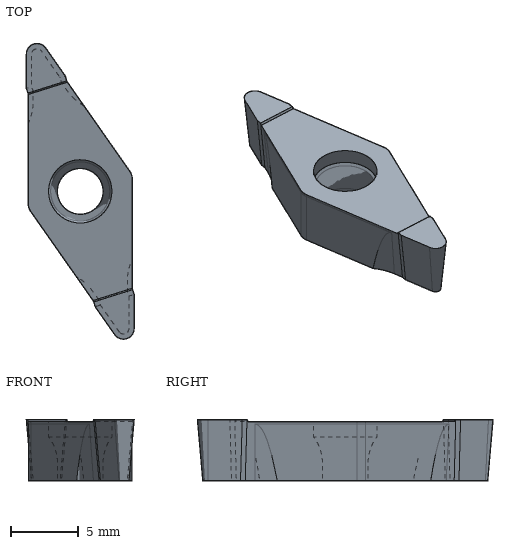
import cadquery as cq
import math


length = 21.92
tip_width = 8.0
height = 4.54
point_angle = 35.0
half_angle = math.radians(point_angle / 2)
clearance_inset = 0.4

tip_inradius = tip_width / 2
body_inradius = 3.88
nose_radius = 0.81
nose_centre = length / 2 - nose_radius
corner_radius = 1.1
shoulder_inner_top = 7.28
shoulder_outer_top = 7.63
shoulder_rise = 0.13

recess_depth = 0.13
recess_end_bottom = 8.0
recess_end_top = 8.1

core_height = 4.2
runout_position = 6.69
runout_radius = 3.95
core_end = runout_position + 0.22
core_setback = 0.1

bore_radius = 1.69
mouth_radius = 2.35
seat_radius = 2.2
mouth_depth = 1.15
ledge_depth = 0.2
seat_depth = 1.75

clearance_slope = clearance_inset / height
core_inset = clearance_slope * (height - core_height)
core_inradius = body_inradius - core_inset


def edge_point(side, along, outward):
    """Point beside the +Y tip; side -1 is the edge parallel to Y, +1 the slanted edge."""
    axial = along * math.cos(half_angle) + outward * math.sin(half_angle)
    across = side * (outward * math.cos(half_angle) - along * math.sin(half_angle))
    return (
        across * math.cos(half_angle) - axial * math.sin(half_angle),
        across * math.sin(half_angle) + axial * math.cos(half_angle),
    )


def opposite(point):
    return (-point[0], -point[1])


def corner_points(inradius, radius):
    """Start, middle and end of the round at the obtuse +X corner, from slanted to upright edge."""
    foot = (radius - inradius) * math.tan(half_angle)
    start = edge_point(1, foot, inradius)
    end = opposite(edge_point(-1, foot, inradius))
    centre_distance = (inradius - radius) / math.cos(half_angle)
    reach = centre_distance + radius
    middle = (reach * math.cos(half_angle), reach * math.sin(half_angle))
    return start, middle, end


def drafted_outline(inset, shoulder_shift, level):
    """Full outline with stepped shoulders, moved inward by inset."""
    neck = body_inradius - inset
    flank = tip_inradius - inset
    radius = nose_radius - inset
    inner = shoulder_inner_top + shoulder_shift
    outer = shoulder_outer_top + shoulder_shift
    nose_axial = nose_centre * math.cos(half_angle) + (flank - radius) * math.sin(half_angle)
    nose_reach = nose_axial + radius
    nose_tip = (-nose_reach * math.sin(half_angle), nose_reach * math.cos(half_angle))
    corner = corner_points(neck, corner_radius - inset)

    sketch = cq.Workplane("XY").workplane(offset=level).moveTo(*opposite(corner[2]))
    for turn in (lambda point: point, opposite):
        sketch = (
            sketch.lineTo(*turn(edge_point(-1, inner, neck)))
            .lineTo(*turn(edge_point(-1, outer, flank)))
            .lineTo(*turn(edge_point(-1, nose_centre, flank)))
            .threePointArc(turn(nose_tip), turn(edge_point(1, nose_centre, flank)))
            .lineTo(*turn(edge_point(1, outer, flank)))
            .lineTo(*turn(edge_point(1, inner, neck)))
            .lineTo(*turn(corner[0]))
            .threePointArc(turn(corner[1]), turn(corner[2]))
        )
    return sketch.close().val()


def drafted_body():
    bottom = drafted_outline(clearance_inset, shoulder_rise, 0)
    top = drafted_outline(0, 0, height)
    return cq.Workplane(cq.Solid.makeLoft([bottom, top], True))


def runout_cutter():
    """Scoop beside the -X edge: a cylinder tangent to the drafted neck plane."""
    margin = 1.1
    bottom_inradius = body_inradius - clearance_inset
    plane = cq.Plane(
        origin=(-bottom_inradius, runout_position, 0),
        xDir=(0, 1, 0),
        normal=(-clearance_slope, 0, 1),
    )
    sweep = math.radians(45)

    def arc_point(angle):
        return (
            -runout_radius * math.sin(angle),
            runout_radius * (1 - math.cos(angle)),
        )

    arc_end = arc_point(sweep)
    return (
        cq.Workplane(plane)
        .workplane(offset=-margin)
        .moveTo(margin, -core_setback)
        .lineTo(0, -core_setback)
        .lineTo(0, 0)
        .threePointArc(arc_point(sweep / 2), arc_end)
        .lineTo(margin, arc_end[1])
        .close()
        .extrude(height + 2 * margin)
    )


def upright_core():
    corner = corner_points(core_inradius, corner_radius - core_inset)
    core = (
        cq.Workplane("XY")
        .moveTo(*opposite(corner[2]))
        .lineTo(*edge_point(-1, core_end, core_inradius))
        .lineTo(*edge_point(1, core_end, core_inradius))
        .lineTo(*corner[0])
        .threePointArc(corner[1], corner[2])
        .lineTo(*opposite(edge_point(-1, core_end, core_inradius)))
        .lineTo(*opposite(edge_point(1, core_end, core_inradius)))
        .lineTo(*opposite(corner[0]))
        .threePointArc(opposite(corner[1]), opposite(corner[2]))
        .close()
        .extrude(core_height)
    )
    left = runout_cutter()
    slanted = cq.Workplane(left.val().mirror(cq.Vector(math.cos(half_angle), math.sin(half_angle), 0)))
    for cutter in (left, slanted):
        core = core.cut(cutter).cut(cutter.rotate((0, 0, 0), (0, 0, 1), 180))
    return core


def top_recess():
    """Shallow recess between the tips, with sloped end walls square to the long axis."""
    floor = height - recess_depth
    return (
        cq.Workplane("YZ")
        .polyline([
            (-recess_end_bottom, floor),
            (recess_end_bottom, floor),
            (recess_end_top, height),
            (-recess_end_top, height),
        ])
        .close()
        .extrude(length, both=True)
        .rotate((0, 0, 0), (0, 0, 1), point_angle / 2)
    )


def screw_hole():
    """Through bore with a straight mouth, a narrow bevelled ledge and a rounded screw seat."""
    floor = height - recess_depth
    mouth_bottom = floor - mouth_depth
    seat_top = mouth_bottom - ledge_depth
    seat_bottom = seat_top - seat_depth
    return (
        cq.Workplane("XZ")
        .lineTo(bore_radius, 0)
        .lineTo(bore_radius, seat_bottom)
        .tangentArcPoint((seat_radius, seat_top), relative=False)
        .lineTo(mouth_radius, mouth_bottom)
        .lineTo(mouth_radius, height)
        .lineTo(0, height)
        .close()
        .revolve(360, (0, 0, 0), (0, 1, 0))
    )


result = drafted_body().union(upright_core()).cut(top_recess()).cut(screw_hole())